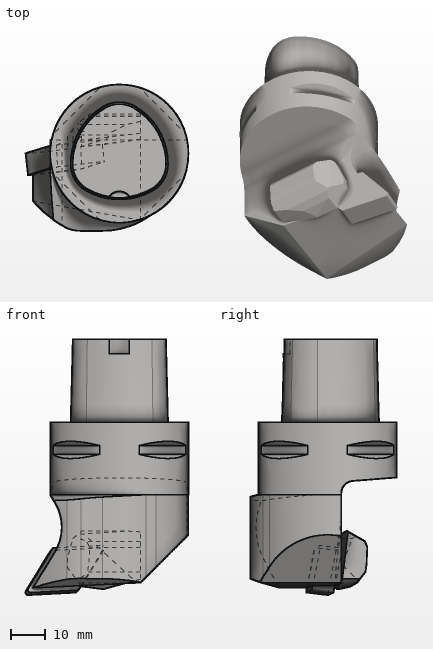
import cadquery as cq
import math

FLANGE_RADIUS = 20.0
FLANGE_HEIGHT = 20.9

SHANK_HEIGHT = 24.0
LOBE_REACH = 14.9
FLANK_REACH = 13.3
SHANK_TAPER = math.degrees(math.atan(1 / 40))

KEYWAY_RADIUS = 3.4
KEYWAY_DEPTH = 4.2
KEYWAY_BOTTOM_Y = -10.9

GROOVE_COUNT = 4
GROOVE_FLOOR_DISTANCE = 17.6
GROOVE_FLOOR_WIDTH = 2.5
GROOVE_MOUTH_WIDTH = 5.0
GROOVE_CENTER_Z = -8.0

HEAD_RADIUS = 19.95
HEAD_LEFT = -25.0
HEAD_FRONT = -22.39
HEAD_CORNER_Y = -13.7
FRONT_FLAT_LEFT = -11.1
FRONT_FLAT_RIGHT = -5.0
CORNER_RADIUS = 10.9
CORNER_TURN = 22.0
LEFT_ARC_RADIUS = 35.0
TANGENT_TURN = 32.0
SHOULDER_SLOPE = 14.0

THROAT_X = -16.7
THROAT_Z = -30.4
THROAT_RADIUS = 14.1
THROAT_ANGLE = 31.0
BOTTOM_RIGHT_X = 6.1
BOTTOM_RIGHT_Z = -46.4
BOTTOM_RISE_ANGLE = 2.8
CLEARANCE_ANGLE = 18.4
CREASE_DROP_Y = -5.5

FACE_Y = 4.0
STEP_Z = -16.0
STEP_SLOPE = 4.5
STEP_FILLET = 3.5

INSCRIBED_DIAMETER = 12.7
INSERT_THICKNESS = 6.35
INSERT_ANGLE = 55.0
NOSE_RADIUS = 0.8
NOSE_CENTER = cq.Vector(-26.35, 0.15, -49.21)
RAKE_NORMAL = cq.Vector(-0.11, 0.985, -0.12).normalized()
EDGE_RISE = 3.0

CLAMP_NOSE_X = -15.0
CLAMP_REAR_X = 6.0
CLAMP_TOP_Z = -31.0
CLAMP_BACK_Y = 12.0
CLAMP_SIDE_OUTLINE = [
    (FACE_Y - 1, -32.8), (5.5, -31.4), (10.8, -34.4), (11.5, -36.1), (11.3, -40.9),
    (11.0, -43.2), (8.5, -46.4), (6.4, -47.6), (3.1, -48.3), (0, -48.0),
]
CLAMP_FRONT_OUTLINE = [
    (CLAMP_NOSE_X, -39), (CLAMP_NOSE_X, -42), (-11, -47.5), (-4.6, -48.3),
    (CLAMP_REAR_X, -45.3), (CLAMP_REAR_X, CLAMP_TOP_Z),
    (-10.5, CLAMP_TOP_Z), (-13.5, -33.5),
]
CLAMP_PLAN_OUTLINE = [
    (CLAMP_NOSE_X, 0), (CLAMP_NOSE_X, 5), (-12.5, 8.5), (-8, CLAMP_BACK_Y),
    (CLAMP_REAR_X, CLAMP_BACK_Y), (CLAMP_REAR_X, 0),
]

CUT_SIZE = 100.0


def make_shank():
    """Three lobe arcs alternating with three concentric flank arcs, tapered upward."""
    sqrt3 = math.sqrt(3)
    lobe_offset = (LOBE_REACH - FLANK_REACH) / (2 - sqrt3)
    lobe_radius = LOBE_REACH - lobe_offset
    flank_radius = FLANK_REACH + lobe_offset

    def point(center_angle, radius, direction):
        center = math.radians(center_angle)
        outward = math.radians(direction)
        return (
            lobe_offset * math.cos(center) + radius * math.cos(outward),
            lobe_offset * math.sin(center) + radius * math.sin(outward),
        )

    outline = cq.Workplane("XY").moveTo(*point(90, lobe_radius, 60))
    for lobe in (90, 210, 330):
        outline = outline.threePointArc(
            point(lobe, lobe_radius, lobe), point(lobe, lobe_radius, lobe + 30)
        )
        outline = outline.threePointArc(
            point(lobe + 240, flank_radius, lobe + 60),
            point(lobe + 120, lobe_radius, lobe + 90),
        )
    shank = outline.close().extrude(SHANK_HEIGHT, taper=SHANK_TAPER)

    keyway = (
        cq.Workplane("XY", origin=(0, KEYWAY_BOTTOM_Y - KEYWAY_RADIUS, SHANK_HEIGHT))
        .circle(KEYWAY_RADIUS)
        .extrude(-KEYWAY_DEPTH)
    )
    return shank.cut(keyway)


def make_flange():
    flange = cq.Workplane("XY").circle(FLANGE_RADIUS).extrude(-FLANGE_HEIGHT)
    half_floor = GROOVE_FLOOR_WIDTH / 2
    half_mouth = GROOVE_MOUTH_WIDTH / 2
    groove = (
        cq.Workplane("XZ", origin=(0, 0, GROOVE_CENTER_Z))
        .polyline([
            (GROOVE_FLOOR_DISTANCE, -half_floor),
            (FLANGE_RADIUS, -half_mouth),
            (FLANGE_RADIUS, half_mouth),
            (GROOVE_FLOOR_DISTANCE, half_floor),
        ])
        .close()
        .extrude(FLANGE_RADIUS, both=True)
    )
    step = 360 / GROOVE_COUNT
    for index in range(GROOVE_COUNT):
        angle = step * (index + 0.5)
        flange = flange.cut(groove.rotate((0, 0, 0), (0, 0, 1), angle))
    return flange


def make_head_blank():
    """Round core plus the wing that reaches out to the front and left."""
    core = (
        cq.Workplane("XY", origin=(0, 0, -FLANGE_HEIGHT)).circle(HEAD_RADIUS).extrude(-CUT_SIZE)
    )

    turn = math.radians(TANGENT_TURN)
    tangent_radius = (
        HEAD_RADIUS - FRONT_FLAT_RIGHT * math.sin(turn) + HEAD_FRONT * math.cos(turn)
    ) / (1 - math.cos(turn))
    arc_end = (
        FRONT_FLAT_RIGHT + tangent_radius * math.sin(turn),
        HEAD_FRONT + tangent_radius * (1 - math.cos(turn)),
    )
    core_tangent = (HEAD_RADIUS * math.sin(turn), -HEAD_RADIUS * math.cos(turn))
    corner = math.radians(CORNER_TURN)
    corner_end = (
        FRONT_FLAT_LEFT - CORNER_RADIUS * math.sin(corner),
        HEAD_FRONT + CORNER_RADIUS * (1 - math.cos(corner)),
    )
    wing = (
        cq.Workplane("XY")
        .moveTo(*core_tangent)
        .lineTo(*arc_end)
        .tangentArcPoint((FRONT_FLAT_RIGHT, HEAD_FRONT), relative=False)
        .lineTo(FRONT_FLAT_LEFT, HEAD_FRONT)
        .tangentArcPoint(corner_end, relative=False)
        .radiusArc((HEAD_LEFT, HEAD_CORNER_Y), LEFT_ARC_RADIUS)
        .lineTo(HEAD_LEFT, 2 * FACE_Y)
        .lineTo(0, 2 * FACE_Y)
        .close()
        .extrude(-CUT_SIZE)
    )
    rim = 2 * FLANGE_RADIUS
    rim_z = -FLANGE_HEIGHT - (rim - FLANGE_RADIUS) * math.tan(math.radians(SHOULDER_SLOPE))
    shoulder = (
        cq.Workplane("XZ")
        .polyline([
            (0, -FLANGE_HEIGHT),
            (FLANGE_RADIUS, -FLANGE_HEIGHT),
            (rim, rim_z),
            (rim, -CUT_SIZE),
            (0, -CUT_SIZE),
        ])
        .close()
        .revolve(360, (0, 0, 0), (0, 1, 0))
    )
    return core.union(wing.intersect(shoulder))


def bottom_left_z():
    run = BOTTOM_RIGHT_X - HEAD_LEFT
    return BOTTOM_RIGHT_Z - run * math.tan(math.radians(BOTTOM_RISE_ANGLE))


def make_side_profile():
    """Prism along Y: chip throat on the left, sloping bottom, 45 degree corner on the right."""
    angle = math.radians(THROAT_ANGLE)
    half_throat = THROAT_RADIUS * math.sin(angle)
    throat_end_x = THROAT_X - THROAT_RADIUS * (1 - math.cos(angle))
    throat_top_z = THROAT_Z + half_throat
    throat_low_z = THROAT_Z - half_throat
    bevel = FLANGE_RADIUS - BOTTOM_RIGHT_X
    lip_z = throat_top_z + (throat_end_x + FLANGE_RADIUS) / math.tan(angle)
    return (
        cq.Workplane("XZ")
        .moveTo(-FLANGE_RADIUS, 0)
        .lineTo(-FLANGE_RADIUS, lip_z)
        .lineTo(throat_end_x, throat_top_z)
        .threePointArc((THROAT_X, THROAT_Z), (throat_end_x, throat_low_z))
        .lineTo(HEAD_LEFT, bottom_left_z())
        .lineTo(BOTTOM_RIGHT_X, BOTTOM_RIGHT_Z)
        .lineTo(FLANGE_RADIUS, BOTTOM_RIGHT_Z + bevel)
        .lineTo(FLANGE_RADIUS, 0)
        .close()
        .extrude(CUT_SIZE, both=True)
    )


def make_bottom_relief():
    """Half space below the relieved front part of the bottom face."""
    start = cq.Vector(HEAD_LEFT, HEAD_CORNER_Y, bottom_left_z())
    end = cq.Vector(BOTTOM_RIGHT_X, HEAD_CORNER_Y + CREASE_DROP_Y, BOTTOM_RIGHT_Z)
    crease = (end - start).normalized()
    relief = math.radians(CLEARANCE_ANGLE)
    forward = cq.Vector(0, -math.cos(relief), math.sin(relief))
    normal = forward.cross(crease).normalized()
    plane = cq.Plane(origin=start, xDir=crease, normal=normal)
    return cq.Workplane(plane).rect(CUT_SIZE, CUT_SIZE).extrude(-CUT_SIZE)


def make_face_cutaway():
    """Space behind the cutting face, with a filleted ceiling under the flange."""
    run = FLANGE_RADIUS - FACE_Y
    corner_z = STEP_Z - run * math.tan(math.radians(STEP_SLOPE))
    return (
        cq.Workplane("YZ")
        .polyline([
            (FACE_Y, corner_z),
            (FLANGE_RADIUS, STEP_Z),
            (FLANGE_RADIUS, -CUT_SIZE),
            (FACE_Y, -CUT_SIZE),
        ])
        .close()
        .extrude(CUT_SIZE, both=True)
        .faces("<Y")
        .edges("|X and >Z")
        .fillet(STEP_FILLET)
    )


def rake_plane():
    """Rake face plane at the nose centre: local X along the bottom edge, local Y upward."""
    rise = math.radians(EDGE_RISE)
    edge_x = math.cos(rise)
    edge_z = math.sin(rise)
    edge_y = -(RAKE_NORMAL.x * edge_x + RAKE_NORMAL.z * edge_z) / RAKE_NORMAL.y
    return cq.Plane(
        origin=NOSE_CENTER, xDir=cq.Vector(edge_x, edge_y, edge_z), normal=RAKE_NORMAL * -1
    )


def make_insert():
    angle = math.radians(INSERT_ANGLE)
    side = INSCRIBED_DIAMETER / math.sin(angle)
    corner_x = -NOSE_RADIUS / math.tan(angle / 2)
    corner_y = -NOSE_RADIUS
    lean = side * math.cos(angle)
    return (
        cq.Workplane(rake_plane())
        .polyline([
            (corner_x, corner_y),
            (corner_x + side, corner_y),
            (corner_x + side + lean, corner_y + INSCRIBED_DIAMETER),
            (corner_x + lean, corner_y + INSCRIBED_DIAMETER),
        ])
        .close()
        .extrude(INSERT_THICKNESS)
        .edges(cq.selectors.ParallelDirSelector(RAKE_NORMAL))
        .fillet(NOSE_RADIUS)
    )


def make_prism(workplane, outline):
    return cq.Workplane(workplane).polyline(outline).close().extrude(CUT_SIZE, both=True)


def make_clamp():
    """Faceted clamp standing on the rake face, the overlap of three prisms."""
    return (
        make_prism("YZ", CLAMP_SIDE_OUTLINE)
        .intersect(make_prism("XZ", CLAMP_FRONT_OUTLINE))
        .intersect(make_prism("XY", CLAMP_PLAN_OUTLINE))
    )


insert = make_insert()
behind_rake = cq.Workplane(rake_plane()).rect(CUT_SIZE, CUT_SIZE).extrude(-CUT_SIZE)

head = make_head_blank().cut(behind_rake).cut(make_bottom_relief())
shaft = head.union(make_flange())
shaft = shaft.intersect(make_side_profile()).cut(make_face_cutaway())
clamp = make_clamp().intersect(behind_rake)
body = shaft.union(make_shank()).union(clamp).cut(insert)

result = cq.Compound.makeCompound([body.val(), insert.val()])